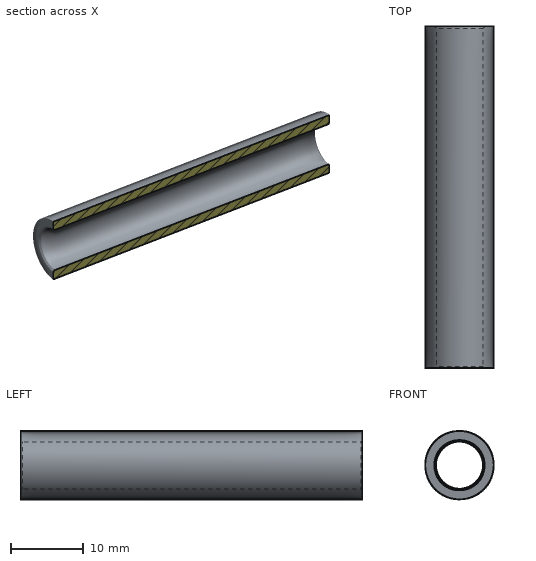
import cadquery as cq

outer_diameter = 9.525
bore_diameter = 6.5
length = 47.37
bore_chamfer = 0.25


def make_tube():
    """Plain tube along Y, centred on the origin."""
    rear_end = cq.Workplane("XZ", origin=(0, length / 2, 0))
    ring = rear_end.circle(outer_diameter / 2).circle(bore_diameter / 2)
    return ring.extrude(length)


def chamfer_bore_mouths(tube):
    """Break the bore edge at both ends of the tube."""
    bore_edges = cq.selectors.RadiusNthSelector(0)
    return tube.faces("<Y or >Y").edges(bore_edges).chamfer(bore_chamfer)


result = chamfer_bore_mouths(make_tube())